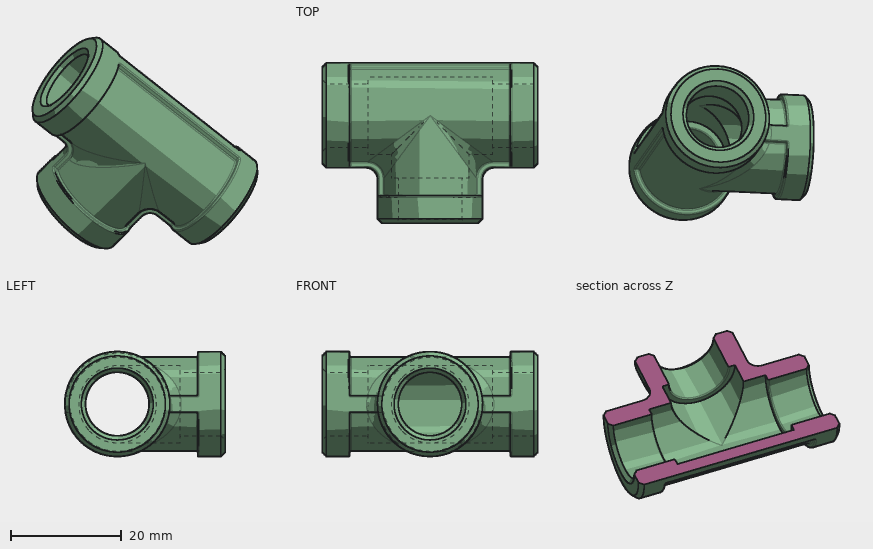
import cadquery as cq
ARM_LENGTH = 19.5
COLLAR_LENGTH = 5.0
COLLAR_RADIUS = 19.0 / 2
BODY_RADIUS = 17.0 / 2
BORE_RADIUS = 11.45 / 2
MOUTH_RADIUS = 13.0 / 2
CAVITY_RADIUS = 14.0 / 2
CAVITY_REACH = 11.25
COLLAR_CHAMFER = 0.8
BODY_CROTCH_RADIUS = 3.0
RIB_WIDTH = 3.0
EDGE_RADIUS = 0.25
TOLERANCE = 1e-3

SHOULDER = ARM_LENGTH - COLLAR_LENGTH
STEP_HEIGHT = COLLAR_RADIUS - BODY_RADIUS
RIB_CROTCH_RADIUS = BODY_CROTCH_RADIUS - STEP_HEIGHT
MOUTH_DEPTH = MOUTH_RADIUS - BORE_RADIUS

LEFT = cq.Vector(-1, 0, 0)
RIGHT = cq.Vector(1, 0, 0)
BRANCH = cq.Vector(0, -1, 0)
ARMS = (LEFT, RIGHT, BRANCH)


def arm_cylinder(direction, radius, start, end):
    """Cylinder on the axis of an arm, between two distances from the centre of the tee."""
    return cq.Workplane(cq.Solid.makeCylinder(radius, end - start, direction * start, direction))


def plain_tee(radius, reach):
    """Run and branch of equal radius, meeting in a sharp crotch."""
    run = arm_cylinder(RIGHT, radius, -reach, reach)
    return run.union(arm_cylinder(BRANCH, radius, 0, reach))


def blend_crotch(tee, radius):
    """Blend the curves along which run and branch meet."""
    return tee.edges("%ELLIPSE").fillet(radius)


def collars_and_ribs():
    """The parts of a larger tee kept as three collars and a mid-plane rib flush with them."""
    kept = cq.Workplane("XY").box(2 * ARM_LENGTH, 2 * ARM_LENGTH, RIB_WIDTH)
    for arm in ARMS:
        kept = kept.union(arm_cylinder(arm, 2 * COLLAR_RADIUS, SHOULDER, ARM_LENGTH))
    return kept.intersect(blend_crotch(plain_tee(COLLAR_RADIUS, ARM_LENGTH), RIB_CROTCH_RADIUS))


def lies_across_arm(edge, distance):
    """True for an edge in a plane square to one of the arms, at a distance from the centre."""
    points = [edge.positionAt(t) for t in (0, 0.5, 1)]
    return any(all(abs(p.dot(arm) - distance) < TOLERANCE for p in points) for arm in ARMS)


def is_step_edge(edge):
    """True for an edge in a collar's shoulder plane or in a flat side of the ribs."""
    points = [edge.positionAt(t) for t in (0, 0.5, 1)]
    on_rib = all(abs(abs(p.z) - RIB_WIDTH / 2) < TOLERANCE for p in points)
    return on_rib or lies_across_arm(edge, SHOULDER)


def soften_steps(tee):
    """Round the top and fillet the foot and corners of the steps at collars and ribs."""
    step_edges = [edge for edge in tee.edges().vals() if is_step_edge(edge)]
    return tee.newObject(step_edges).fillet(EDGE_RADIUS)


def chamfer_ends(tee):
    """Chamfer the outer rim of each end face."""
    for selector in ("<X", ">X", "<Y"):
        tee = tee.faces(selector).edges().chamfer(COLLAR_CHAMFER)
    return tee


def bore(direction):
    """Bore of one arm up to the centre of the tee, with its countersunk mouth."""
    mouth = cq.Workplane(
        cq.Solid.makeCone(
            BORE_RADIUS,
            MOUTH_RADIUS,
            MOUTH_DEPTH,
            direction * (ARM_LENGTH - MOUTH_DEPTH),
            direction,
        )
    )
    return arm_cylinder(direction, BORE_RADIUS, 0, ARM_LENGTH).union(mouth)


def is_bore_end(edge):
    """True for the circle where a bore opens into the wider hollow."""
    if edge.geomType() != "CIRCLE":
        return False
    return abs(edge.radius() - BORE_RADIUS) < TOLERANCE and lies_across_arm(edge, CAVITY_REACH)


def round_bore_ends(tee):
    """Round the inner rim of each bore."""
    rims = [edge for edge in tee.edges().vals() if is_bore_end(edge)]
    return tee.newObject(rims).fillet(EDGE_RADIUS)


outside = plain_tee(BODY_RADIUS, ARM_LENGTH).union(collars_and_ribs())
outside = blend_crotch(outside, BODY_CROTCH_RADIUS)
outside = chamfer_ends(soften_steps(outside))

passages = bore(LEFT).union(bore(RIGHT)).union(bore(BRANCH))
hollow = plain_tee(CAVITY_RADIUS, CAVITY_REACH)
result = round_bore_ends(outside.cut(passages).cut(hollow))